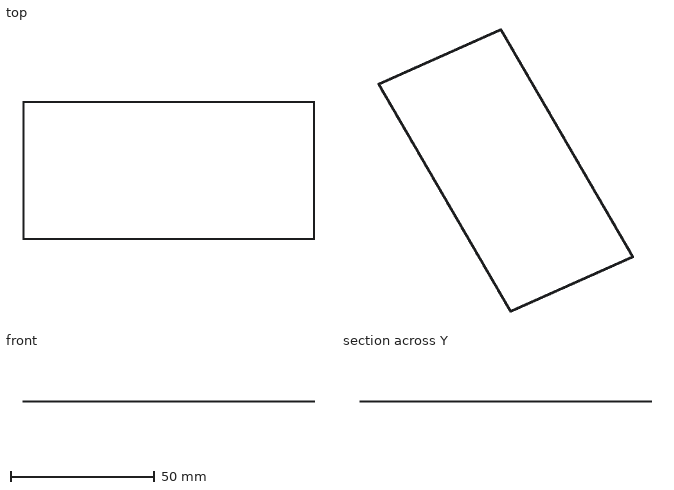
import cadquery as cq

length = 101.6
width = 48.0
thickness = 0.08

result = cq.Workplane("XY").box(length, width, thickness)